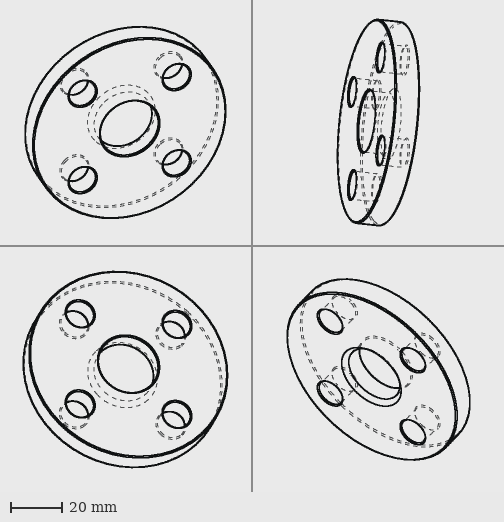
import cadquery as cq
import math

outer_diameter = 80.0
thickness = 10.0
edge_chamfer = 0.5

bore_diameter = 24.0
lead_in_diameter = 28.0
lead_in_depth = (lead_in_diameter - bore_diameter) / 2

bolt_hole_diameter = 11.0
bolt_circle_diameter = 55.0
bolt_hole_count = 4
first_bolt_angle = 45.0


def make_disc():
    """Plain disc with both rim edges chamfered."""
    disc = cq.Workplane("YZ").circle(outer_diameter / 2).extrude(thickness)
    return disc.edges().chamfer(edge_chamfer)


def make_flared_hole(diameter, front_chamfer, back_chamfer):
    """Through-hole cutter on the X axis, widened at 45 degrees at each end."""
    radius = diameter / 2
    profile = (
        cq.Workplane("XY")
        .moveTo(0, 0)
        .lineTo(0, radius + front_chamfer)
        .lineTo(front_chamfer, radius)
        .lineTo(thickness - back_chamfer, radius)
        .lineTo(thickness, radius + back_chamfer)
        .lineTo(thickness, 0)
        .close()
    )
    return profile.revolve(360, (0, 0, 0), (1, 0, 0))


def make_bolt_hole(angle_degrees):
    """Bolt hole cutter at the given angle around the pitch circle."""
    pitch_radius = bolt_circle_diameter / 2
    angle = math.radians(angle_degrees)
    hole = make_flared_hole(bolt_hole_diameter, edge_chamfer, edge_chamfer)
    return hole.translate((0, pitch_radius * math.cos(angle), pitch_radius * math.sin(angle)))


bore = make_flared_hole(bore_diameter, lead_in_depth, edge_chamfer)
result = make_disc().cut(bore)

bolt_angle_step = 360 / bolt_hole_count
for index in range(bolt_hole_count):
    result = result.cut(make_bolt_hole(first_bolt_angle + index * bolt_angle_step))